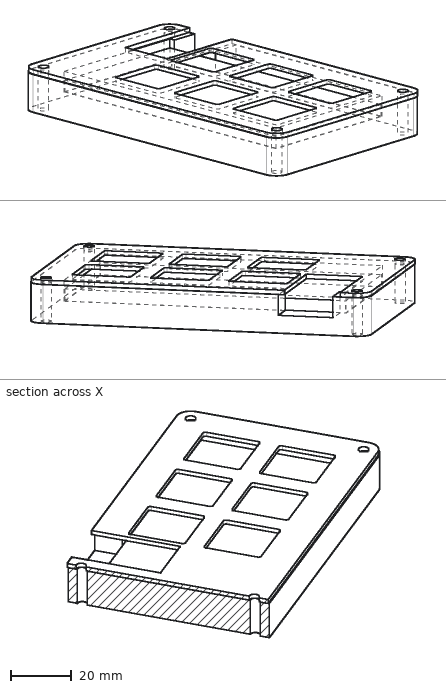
import cadquery as cq

outer_length = 115.1
outer_width = 70.8

plate_thickness = 1.5
shift_x = 0.1
shift_y = 0.3

tray_length = outer_length - shift_x
tray_width = outer_width - shift_y
tray_height = 13.0
corner_radius = 5.0
wall = 9.8
floor_height = 6.0
pocket_length = tray_length - 2 * wall
pocket_width = tray_width - 2 * wall
pocket_depth = tray_height - floor_height

screw_diameter = 3.5
screw_inset = corner_radius

board_thickness = 4.0
board_gap = 0.2
board_length = pocket_length - 2 * board_gap
board_width = pocket_width - 2 * board_gap

key_columns = 3
key_rows = 2
key_pitch = 26.5
key_size = 19.8
key_corner_radius = 0.9
key_field_offset = 9.2

opening_left = 9.4
opening_width = 18.9
opening_depth = 31.1

notch_left = 11.9
notch_width = 18.4


def rounded_slab(height):
    """Slab with rounded upright corners and a screw hole through each corner."""
    return (
        cq.Workplane("XY")
        .box(tray_length, tray_width, height, centered=(True, True, False))
        .edges("|Z")
        .fillet(corner_radius)
        .faces(">Z")
        .workplane()
        .rect(tray_length - 2 * screw_inset, tray_width - 2 * screw_inset, forConstruction=True)
        .vertices()
        .hole(screw_diameter)
    )


def rear_cutter(left, width, depth, bottom, height):
    """Block reaching in from the rear edge, starting at a distance from the left edge."""
    corner = (left - tray_length / 2, tray_width / 2 - depth, bottom)
    return cq.Workplane("XY").box(width, depth, height, centered=False).translate(corner)


def block_on_floor(length, width, height):
    """Centred block standing on the pocket floor."""
    return cq.Workplane("XY", origin=(0, 0, floor_height)).rect(length, width).extrude(height)


def make_tray():
    pocket = block_on_floor(pocket_length, pocket_width, pocket_depth)
    notch = rear_cutter(notch_left, notch_width, wall, floor_height, pocket_depth)
    return rounded_slab(tray_height).cut(pocket).cut(notch)


def make_board():
    return block_on_floor(board_length, board_width, board_thickness)


def make_plate():
    key_windows = (
        cq.Workplane("XY")
        .center(key_field_offset, 0)
        .rarray(key_pitch, key_pitch, key_columns, key_rows)
        .rect(key_size, key_size)
        .extrude(plate_thickness)
        .edges("|Z")
        .fillet(key_corner_radius)
    )
    opening = rear_cutter(opening_left, opening_width, opening_depth, 0, plate_thickness)
    plate = rounded_slab(plate_thickness).cut(key_windows).cut(opening)
    return plate.translate((-shift_x, shift_y, tray_height))


tray = make_tray()
board = make_board()
plate = make_plate()

bodies = [body.solids().val() for body in (tray, board, plate)]
result = cq.Compound.makeCompound(bodies)